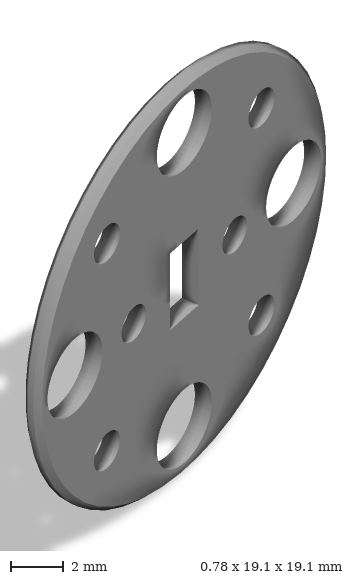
import cadquery as cq

disc_diameter = 19.05
disc_thickness = 0.78
rim_chamfer = 0.25

large_hole_diameter = 3.58
large_hole_radius = 7.15

corner_hole_diameter = 1.7
corner_hole_spacing = 10.1

inner_hole_diameter = 1.6
inner_hole_spacing = 6.6

slot_width = 1.89
slot_height = 3.73


def cross_section():
    """Workplane on the -X face of the disc, facing +X."""
    return cq.Workplane("YZ").workplane(offset=-disc_thickness / 2)


def make_disc():
    """Disc centred on the origin, chamfered on both rim edges."""
    disc = cross_section().circle(disc_diameter / 2).extrude(disc_thickness)
    return disc.edges("%CIRCLE").chamfer(rim_chamfer)


def through_holes(points, diameter):
    """Cylinders along X that pass through the disc at the given (Y, Z) points."""
    return cross_section().pushPoints(points).circle(diameter / 2).extrude(disc_thickness)


large_hole_points = [
    (large_hole_radius, 0),
    (0, large_hole_radius),
    (-large_hole_radius, 0),
    (0, -large_hole_radius),
]
corner_hole_points = [
    (y_side * corner_hole_spacing / 2, z_side * corner_hole_spacing / 2)
    for y_side in (-1, 1)
    for z_side in (-1, 1)
]
inner_hole_points = [(side * inner_hole_spacing / 2, 0) for side in (-1, 1)]

slot = cross_section().rect(slot_width, slot_height).extrude(disc_thickness)

result = (
    make_disc()
    .cut(through_holes(large_hole_points, large_hole_diameter))
    .cut(through_holes(corner_hole_points, corner_hole_diameter))
    .cut(through_holes(inner_hole_points, inner_hole_diameter))
    .cut(slot)
)